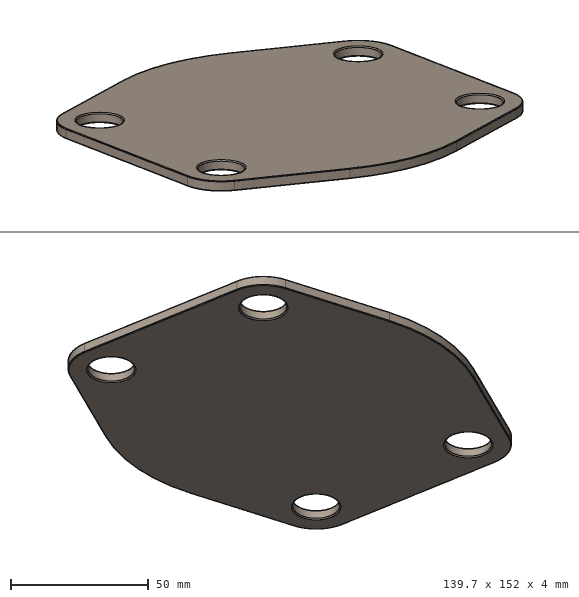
import cadquery as cq
import math

length = 152.0
thickness = 4.0
bulge_diameter = 139.7
hole_diameter = 17.0
hole_x = 35.0
hole_y = 60.3
rim_chamfer = 0.3
hole_chamfer = 0.5

bulge_radius = bulge_diameter / 2
half_length = length / 2
corner_radius = half_length - hole_y

hole_distance = math.hypot(hole_x, hole_y)
hole_angle = math.atan2(hole_y, hole_x)
flank_angle = hole_angle - math.acos((bulge_radius - corner_radius) / hole_distance)


def corner_point(angle):
    """Point on the +X +Y corner arc at the given angle."""
    return (
        hole_x + corner_radius * math.cos(angle),
        hole_y + corner_radius * math.sin(angle),
    )


def mirror_x(point):
    return (-point[0], point[1])


def mirror_y(point):
    return (point[0], -point[1])


def opposite(point):
    return (-point[0], -point[1])


def make_plate():
    """Plate with flat ends, rounded corners, tangent flanks and bulging sides."""
    end = (hole_x, half_length)
    corner_mid = corner_point((flank_angle + math.pi / 2) / 2)
    corner_end = corner_point(flank_angle)
    bulge_start = (
        bulge_radius * math.cos(flank_angle),
        bulge_radius * math.sin(flank_angle),
    )
    outline = (
        cq.Workplane("XY")
        .moveTo(*mirror_x(end))
        .lineTo(*end)
        .threePointArc(corner_mid, corner_end)
        .lineTo(*bulge_start)
        .threePointArc((bulge_radius, 0), mirror_y(bulge_start))
        .lineTo(*mirror_y(corner_end))
        .threePointArc(mirror_y(corner_mid), mirror_y(end))
        .lineTo(*opposite(end))
        .threePointArc(opposite(corner_mid), opposite(corner_end))
        .lineTo(*opposite(bulge_start))
        .threePointArc((-bulge_radius, 0), mirror_x(bulge_start))
        .lineTo(*mirror_x(corner_end))
        .threePointArc(mirror_x(corner_mid), mirror_x(end))
        .close()
    )
    return outline.extrude(thickness)


def make_hole_cutters():
    """Through-hole cylinders on a rectangular pattern."""
    return (
        cq.Workplane("XY")
        .rect(2 * hole_x, 2 * hole_y, forConstruction=True)
        .vertices()
        .circle(hole_diameter / 2)
        .extrude(thickness)
    )


plate = make_plate().faces("|Z").edges().chamfer(rim_chamfer)
drilled = plate.cut(make_hole_cutters())
hole_mouths = drilled.edges("%CIRCLE").edges(cq.selectors.RadiusNthSelector(0))
result = hole_mouths.chamfer(hole_chamfer)